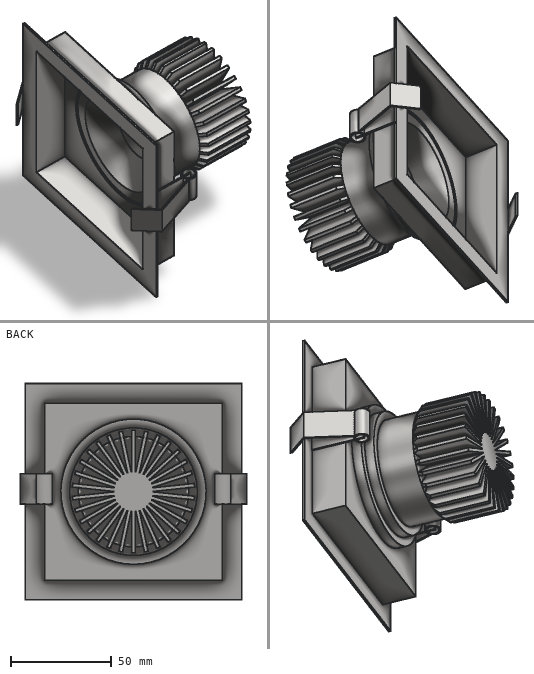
import cadquery as cq
import math


PLATE_SIDE = 108.0
PLATE_THICKNESS = 1.0
BOX_SIDE = 88.3
BOX_BACK = 19.0
POCKET_SIDE = 86.0
POCKET_DEPTH = 18.0

LOWER_STEP_RADIUS = 36.2
LOWER_STEP_BACK = 24.1
UPPER_STEP_RADIUS = 31.8
UPPER_STEP_BACK = 29.1
NECK_RADIUS = 27.5
NECK_BACK = 48.3

FIN_COUNT = 30
FIN_THICKNESS = 1.8
FIN_RADIUS = 30.6
FIN_TAPER_LENGTH = 3.2
FIN_BACK = 78.1
CORE_RADIUS = 10.0

GROOVE_OUTER_RADIUS = 34.3
GROOVE_WIDTH = 1.2
GROOVE_DEPTH = 0.5

MOUTH_RADIUS = 26.6
THROAT_RADIUS = 13.6
THROAT_DEPTH = 29.2
FLARE_SAG = 0.1
CHAMBER_RIM_RADIUS = 22.1
CHAMBER_SAG = 1.4
CHAMBER_DEPTH = 44.9
LAMP_RADIUS = 3.2

CLIP_WIDTH = 15.2
CLIP_OFFSET_Z = 1.4
CLIP_SHEET = 0.8
TAB_BACK = 29.1
COIL_RADIUS = 4.0
COIL_CENTRE_Y = 28.1

LEG_TOP_X = 48.0
LEG_TOP_Y = 25.7
ELBOW_X = 56.6
ELBOW_Y = 1.7
TIP_X = 46.5
TIP_Y = -10.0


def square_block(side, front, back):
    """Square block centred on the Y axis between two depths."""
    return cq.Workplane("XY").box(side, back - front, side).translate((0, (front + back) / 2, 0))


def revolve_about_y(profile):
    """Turn a closed (radius, depth) outline once around the Y axis, with its seam in the YZ plane."""
    turned = profile.close().revolve(360, (0, 0, 0), (0, 1, 0))
    return turned.rotate((0, 0, 0), (0, 1, 0), 90)


def trim_and_box():
    """Trim plate and box, hollowed from the front by the square pocket."""
    plate = square_block(PLATE_SIDE, 0, PLATE_THICKNESS)
    box = square_block(BOX_SIDE, 0, BOX_BACK)
    pocket = square_block(POCKET_SIDE, 0, POCKET_DEPTH)
    return plate.union(box).cut(pocket)


def housing():
    """Stepped round housing with the heat sink core at its back."""
    profile = cq.Workplane("XY").polyline([
        (0, POCKET_DEPTH),
        (LOWER_STEP_RADIUS, POCKET_DEPTH),
        (LOWER_STEP_RADIUS, LOWER_STEP_BACK),
        (UPPER_STEP_RADIUS, LOWER_STEP_BACK),
        (UPPER_STEP_RADIUS, UPPER_STEP_BACK),
        (NECK_RADIUS, UPPER_STEP_BACK),
        (NECK_RADIUS, NECK_BACK),
        (CORE_RADIUS, NECK_BACK),
        (CORE_RADIUS, FIN_BACK),
        (0, FIN_BACK),
    ])
    return revolve_about_y(profile)


def fins():
    """Radial fins, trimmed to a round envelope that tapers down to the neck."""
    envelope = revolve_about_y(
        cq.Workplane("XY").polyline([
            (0, NECK_BACK),
            (NECK_RADIUS, NECK_BACK),
            (FIN_RADIUS, NECK_BACK + FIN_TAPER_LENGTH),
            (FIN_RADIUS, FIN_BACK),
            (0, FIN_BACK),
        ])
    )
    root = CORE_RADIUS / 2
    reach = FIN_RADIUS + FIN_THICKNESS
    blade = (
        cq.Workplane("XY")
        .center((root + reach) / 2, (NECK_BACK + FIN_BACK) / 2)
        .rect(reach - root, FIN_BACK - NECK_BACK)
        .extrude(FIN_THICKNESS / 2, both=True)
        .intersect(envelope)
    )
    pitch = 360 / FIN_COUNT
    return [
        blade.rotate((0, 0, 0), (0, 1, 0), 90 + index * pitch).val()
        for index in range(FIN_COUNT)
    ]


def ring_groove():
    """Shallow ring cut into the pocket floor around the reflector."""
    groove_inner_radius = GROOVE_OUTER_RADIUS - GROOVE_WIDTH
    return (
        cq.Workplane("XZ", origin=(0, POCKET_DEPTH, 0))
        .circle(GROOVE_OUTER_RADIUS)
        .circle(groove_inner_radius)
        .extrude(-GROOVE_DEPTH)
    )


def arc_middle(start, end, sag):
    """Middle of an arc that bulges by sag to the left of its chord."""
    chord_x = end[0] - start[0]
    chord_y = end[1] - start[1]
    chord = math.hypot(chord_x, chord_y)
    return (
        (start[0] + end[0]) / 2 - sag * chord_y / chord,
        (start[1] + end[1]) / 2 + sag * chord_x / chord,
    )


def reflector_cavity():
    """Flared mouth narrowing to the throat, then the wider dome with a flat lamp disc at its end."""
    mouth = (MOUTH_RADIUS, POCKET_DEPTH)
    throat = (THROAT_RADIUS, THROAT_DEPTH)
    chamber_rim = (CHAMBER_RIM_RADIUS, THROAT_DEPTH)
    lamp_edge = (LAMP_RADIUS, CHAMBER_DEPTH)
    profile = (
        cq.Workplane("XY")
        .moveTo(0, POCKET_DEPTH)
        .lineTo(*mouth)
        .threePointArc(arc_middle(mouth, throat, FLARE_SAG), throat)
        .lineTo(*chamber_rim)
        .threePointArc(arc_middle(lamp_edge, chamber_rim, CHAMBER_SAG), lamp_edge)
        .lineTo(0, CHAMBER_DEPTH)
    )
    return revolve_about_y(profile)


def clip_sheet(sketch):
    """Extrude an XY outline to the clip width, at the height of the clips."""
    return sketch.extrude(CLIP_WIDTH / 2, both=True).translate((0, 0, CLIP_OFFSET_Z))


def spring_clip():
    """Clip on the +X side: upright tab, coil around its end, bent spring leg."""
    tab_inner_x = BOX_SIDE / 2
    tab_centre_x = tab_inner_x + CLIP_SHEET / 2
    tab_length = TAB_BACK - PLATE_THICKNESS
    tab = clip_sheet(
        cq.Workplane("XY")
        .center(tab_centre_x, PLATE_THICKNESS + tab_length / 2)
        .rect(CLIP_SHEET, tab_length)
    )
    coil = clip_sheet(
        cq.Workplane("XY")
        .center(tab_centre_x, COIL_CENTRE_Y)
        .circle(COIL_RADIUS)
        .circle(COIL_RADIUS - CLIP_SHEET)
    )

    upper_angle = math.atan2(LEG_TOP_Y - ELBOW_Y, LEG_TOP_X - ELBOW_X)
    lower_angle = math.atan2(TIP_Y - ELBOW_Y, TIP_X - ELBOW_X) + 2 * math.pi
    half_bend = (lower_angle - upper_angle) / 2
    bisector = upper_angle + half_bend
    inner_elbow_reach = CLIP_SHEET / math.sin(half_bend)
    leg = clip_sheet(
        cq.Workplane("XY")
        .polyline([
            (ELBOW_X, ELBOW_Y),
            (LEG_TOP_X, LEG_TOP_Y),
            (
                LEG_TOP_X - CLIP_SHEET * math.sin(upper_angle),
                LEG_TOP_Y + CLIP_SHEET * math.cos(upper_angle),
            ),
            (
                ELBOW_X + inner_elbow_reach * math.cos(bisector),
                ELBOW_Y + inner_elbow_reach * math.sin(bisector),
            ),
            (TIP_X, TIP_Y - CLIP_SHEET / math.cos(lower_angle)),
            (TIP_X, TIP_Y),
        ])
        .close()
    )
    return tab.union(coil).union(leg)


housing_with_fins = cq.Workplane("XY").newObject([housing().val().fuse(*fins())])
body = trim_and_box().union(housing_with_fins)
body = body.cut(ring_groove()).cut(reflector_cavity())
right_clip = spring_clip()
left_clip = right_clip.mirror("YZ")
result = body.union(right_clip).union(left_clip)